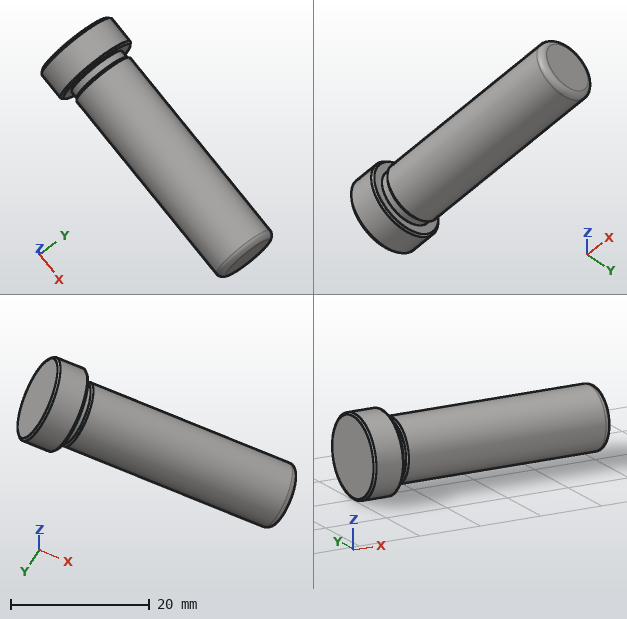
import cadquery as cq

total_length = 40.0
head_diameter = 13.0
head_length = 5.0
head_chamfer = 0.3

shank_diameter = 10.0
neck_diameter = 9.4
neck_end = 6.2
neck_chamfer = (shank_diameter - neck_diameter) / 2
tip_radius = 1.0


def cylinder_along_x(diameter, start, end):
    """Solid cylinder on the pin axis between two x positions."""
    return cq.Workplane("YZ", origin=(start, 0, 0)).circle(diameter / 2).extrude(end - start)


head = cylinder_along_x(head_diameter, 0, head_length).edges().chamfer(head_chamfer)

neck = cylinder_along_x(neck_diameter, 0, neck_end)

shank = cylinder_along_x(shank_diameter, neck_end, total_length)
shank = shank.faces("<X").edges().chamfer(neck_chamfer)
shank = shank.faces(">X").edges().fillet(tip_radius)

result = head.union(neck).union(shank)